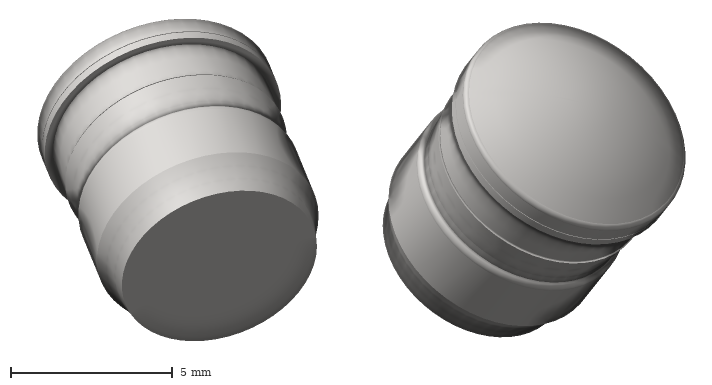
import cadquery as cq

length = 8.38
head_radius = 3.809
dome_radius = 3.69
dome_height = 1.09
edge_end = 1.28
edge_bulge = 0.03
head_end = 1.77
core_radius = 3.14

barrel_radius = 3.57
shoulder_start = 3.51
taper_end = 4.56
neck_radius = 3.42
barrel_start = 4.83
barrel_round = 0.24
nose_start = 7.08
nose_radius = 3.14
nose_hollow = 0.0545

head_clearance = 0.025
shoulder_clearance = 0.06
flange_end = 2.06
sleeve_radius = 3.54

sleeve_start = head_end + head_clearance
sleeve_end = shoulder_start - shoulder_clearance


def revolve_about_x(profile):
    """Turn a closed (X, radius) profile into a solid about the X axis."""
    return profile.close().revolve(360, (0, 0, 0), (1, 0, 0))


def make_plug():
    sphere_radius = (dome_radius**2 + dome_height**2) / (2 * dome_height)
    dome_mid_x = dome_height / 4
    dome_mid_radius = (sphere_radius**2 - (sphere_radius - dome_mid_x)**2) ** 0.5

    edge_mid = ((dome_height + edge_end) / 2 - edge_bulge, (dome_radius + head_radius) / 2 + edge_bulge)
    nose_mid = ((nose_start + length) / 2, (barrel_radius + nose_radius) / 2 - nose_hollow)
    barrel_edge_end = barrel_start + barrel_round
    barrel_edge_mid = (
        barrel_edge_end - barrel_round * 0.5**0.5,
        neck_radius + (barrel_radius - neck_radius) * 0.5**0.5,
    )

    profile = (
        cq.Workplane("XY")
        .moveTo(0, 0)
        .threePointArc((dome_mid_x, dome_mid_radius), (dome_height, dome_radius))
        .threePointArc(edge_mid, (edge_end, head_radius))
        .lineTo(head_end, head_radius)
        .lineTo(head_end, core_radius)
        .lineTo(shoulder_start, core_radius)
        .lineTo(shoulder_start, barrel_radius)
        .lineTo(taper_end, neck_radius)
        .lineTo(barrel_start, neck_radius)
        .threePointArc(barrel_edge_mid, (barrel_edge_end, barrel_radius))
        .lineTo(nose_start, barrel_radius)
        .threePointArc(nose_mid, (length, nose_radius))
        .lineTo(length, 0)
    )
    return revolve_about_x(profile)


def make_sleeve():
    profile = (
        cq.Workplane("XY")
        .moveTo(sleeve_start, core_radius)
        .lineTo(sleeve_start, head_radius)
        .lineTo(flange_end, head_radius)
        .lineTo(flange_end, sleeve_radius)
        .lineTo(sleeve_end, sleeve_radius)
        .lineTo(sleeve_end, core_radius)
    )
    return revolve_about_x(profile)


plug = make_plug()
sleeve = make_sleeve()

result = cq.Compound.makeCompound([plug.val(), sleeve.val()])